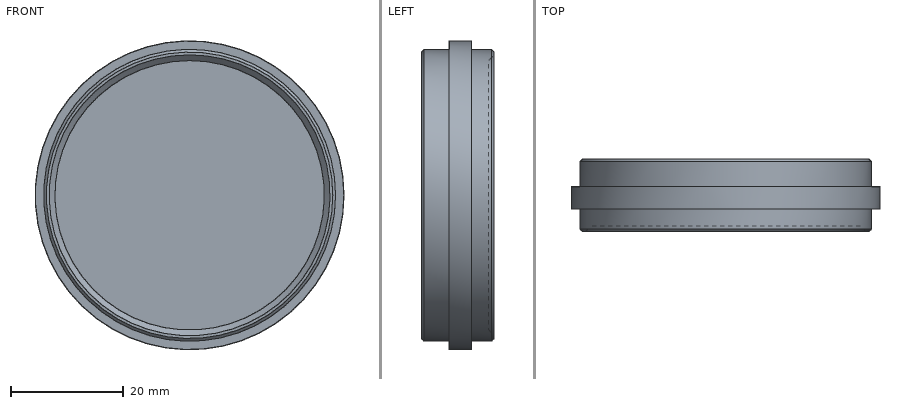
import cadquery as cq

flange_diameter = 55.0
body_diameter = 52.0
total_thickness = 13.0
front_step = 4.0
flange_thickness = 4.0
edge_chamfer = 0.5

recess_mouth_diameter = 50.0
recess_floor_diameter = 47.95
recess_depth = 1.0

front_y = -total_thickness / 2


def disc(diameter, start_y, thickness):
    """Solid disc running from start_y toward +Y."""
    return (
        cq.Workplane("XZ", origin=(0, start_y, 0))
        .circle(diameter / 2)
        .extrude(-thickness)
    )


def front_recess():
    """Cone frustum that narrows from the front face to the recess floor."""
    cone = cq.Solid.makeCone(
        recess_mouth_diameter / 2,
        recess_floor_diameter / 2,
        recess_depth,
        pnt=cq.Vector(0, front_y, 0),
        dir=cq.Vector(0, 1, 0),
    )
    return cq.Workplane(obj=cone)


body = disc(body_diameter, front_y, total_thickness).edges().chamfer(edge_chamfer)
flange = disc(flange_diameter, front_y + front_step, flange_thickness)

result = body.union(flange).cut(front_recess())